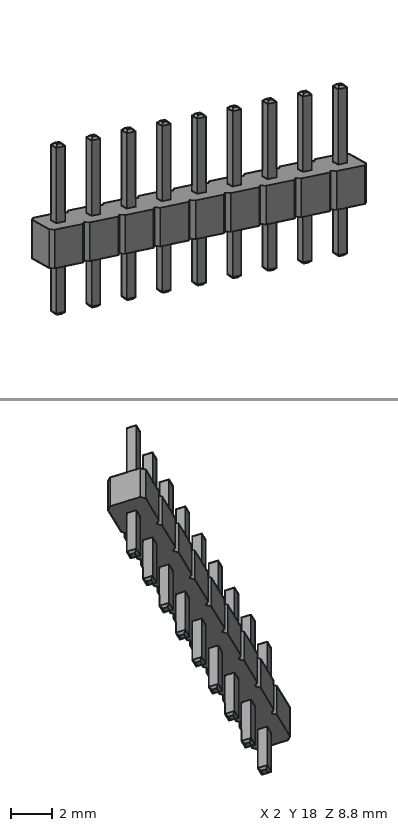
import cadquery as cq

pin_count = 9
row_length = 18.0
pitch = row_length / pin_count
body_width = pitch
body_height = pitch
corner_cut = 0.2

pin_side = 0.5
pin_length = 8.8
pin_below_body = 2.79
tip_cut = pin_side / 4


def make_cell():
    """One housing block with its four vertical edges chamfered."""
    return (
        cq.Workplane("XY")
        .rect(body_width, pitch)
        .extrude(body_height)
        .edges("|Z")
        .chamfer(corner_cut)
    )


def make_pin():
    """One square pin through the housing, chamfered around both ends."""
    return (
        cq.Workplane("XY")
        .workplane(offset=-pin_below_body)
        .rect(pin_side, pin_side)
        .extrude(pin_length)
        .faces("<Z or >Z")
        .chamfer(tip_cut)
    )


cell_with_pin = make_cell().union(make_pin())
first_pin_y = (pitch - row_length) / 2

result = cq.Workplane("XY")
for index in range(pin_count):
    pin_y = first_pin_y + index * pitch
    result = result.union(cell_with_pin.translate((0, pin_y, 0)))